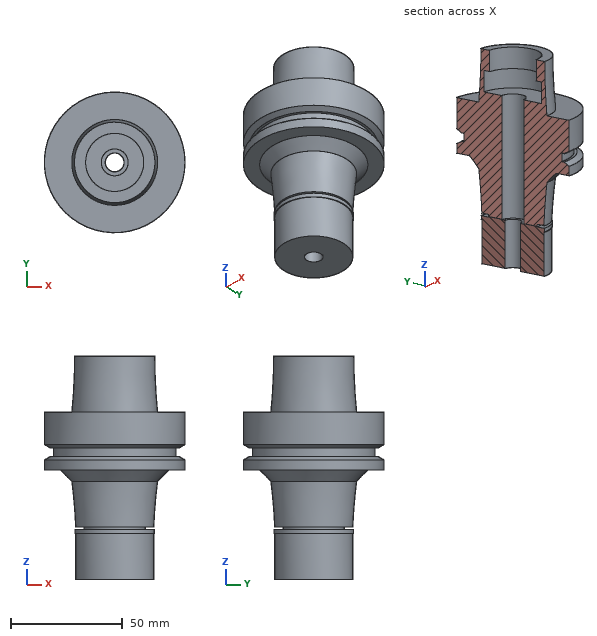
import cadquery as cq
import math

total_height = 100.0
shank_length = 25.0
flange_thickness = 26.0
cone_height = 5.0
nut_height = 22.5
gap_height = 1.0
shoulder_z = total_height - shank_length
flange_bottom_z = shoulder_z - flange_thickness
cone_bottom_z = flange_bottom_z - cone_height
barrel_bottom_z = nut_height + gap_height

shank_tip_radius = 18.0
shank_base_radius = 19.22
barrel_top_radius = shank_base_radius
barrel_bottom_radius = 17.5
flare_radius = 250.0
cone_top_radius = barrel_top_radius + cone_height
neck_radius = 13.75

flange_radius = 31.5
groove_floor_radius = 27.5
groove_width = 3.75
groove_centre_below_shoulder = 18.0
groove_chamfer_run = 2.7
groove_chamfer_angle = 30.0
groove_chamfer_rise = groove_chamfer_run * math.tan(math.radians(groove_chamfer_angle))
groove_centre_z = shoulder_z - groove_centre_below_shoulder
groove_top_z = groove_centre_z + groove_width / 2
groove_bottom_z = groove_centre_z - groove_width / 2
groove_lip_radius = flange_radius - groove_chamfer_run

mouth_diameter = 26.0
mouth_depth = 10.0
chamber_diameter = 32.0
socket_depth = 19.8
holder_bore_diameter = 12.0
nut_bore_diameter = 8.3

nut_radius = 17.5
collar_radius = 17.8
collar_height = 1.9


def make_holder():
    """Tool holder: flared shank, grooved flange, cone, flared barrel and neck.

    The shank socket widens below its mouth into a chamber, and a narrower bore runs on through.
    """
    profile = (
        cq.Workplane("XZ")
        .moveTo(0, nut_height)
        .lineTo(neck_radius, nut_height)
        .lineTo(neck_radius, barrel_bottom_z)
        .lineTo(barrel_bottom_radius, barrel_bottom_z)
        .radiusArc((barrel_top_radius, cone_bottom_z), flare_radius)
        .lineTo(cone_top_radius, flange_bottom_z)
        .lineTo(flange_radius, flange_bottom_z)
        .lineTo(flange_radius, groove_bottom_z - groove_chamfer_rise)
        .lineTo(groove_lip_radius, groove_bottom_z)
        .lineTo(groove_floor_radius, groove_bottom_z)
        .lineTo(groove_floor_radius, groove_top_z)
        .lineTo(groove_lip_radius, groove_top_z)
        .lineTo(flange_radius, groove_top_z + groove_chamfer_rise)
        .lineTo(flange_radius, shoulder_z)
        .lineTo(shank_base_radius, shoulder_z)
        .radiusArc((shank_tip_radius, total_height), flare_radius)
        .lineTo(0, total_height)
        .close()
    )
    body = profile.revolve(360, (0, 0, 0), (0, 1, 0))
    socket_floor = body.faces(">Z").workplane(offset=-socket_depth)
    chamber = socket_floor.circle(chamber_diameter / 2).extrude(socket_depth - mouth_depth, combine=False)
    body = body.faces(">Z").workplane().cboreHole(holder_bore_diameter, mouth_diameter, mouth_depth)
    return body.cut(chamber)


def make_nut():
    """Plain round nut with a slightly larger collar at the top and a through bore."""
    sleeve = cq.Workplane("XY").circle(nut_radius).extrude(nut_height)
    collar = (
        cq.Workplane("XY")
        .workplane(offset=nut_height - collar_height)
        .circle(collar_radius)
        .extrude(collar_height)
    )
    return sleeve.union(collar).faces(">Z").workplane().hole(nut_bore_diameter)


holder = make_holder()
nut = make_nut()

result = cq.Compound.makeCompound([holder.val(), nut.val()])